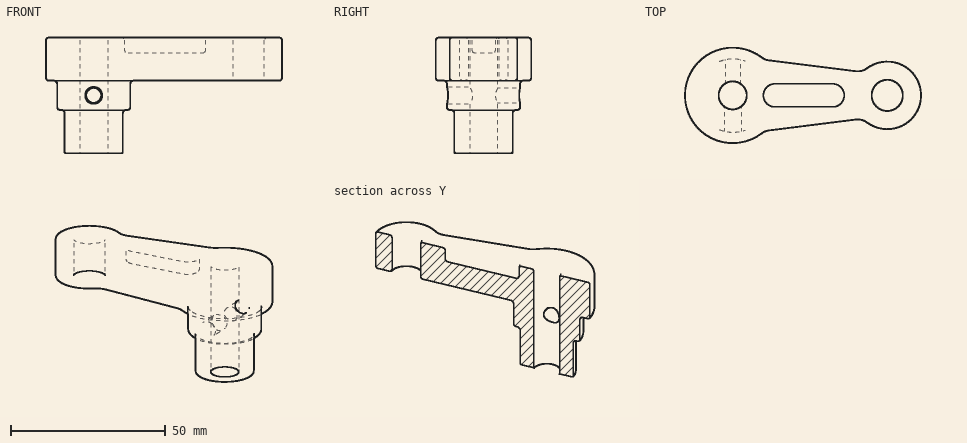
import cadquery as cq

large_end_diameter = 31.0
small_end_diameter = 21.95
overall_length = 76.5
end_spacing = overall_length - (large_end_diameter + small_end_diameter) / 2
web_half_width_large = 12.85
web_half_width_small = 6.6
web_corner_radius = 5.0

arm_thickness = 14.0
boss_height = 9.5
total_height = 37.5
pin_height = total_height - arm_thickness - boss_height
arm_bottom = pin_height + boss_height

boss_diameter = 23.8
pin_diameter = 19.0
pin_bore_diameter = 9.0
small_end_bore_diameter = 10.0
cross_hole_diameter = 4.8
cross_hole_entry_diameter = 5.5
cross_hole_edge_radius = 0.2

pocket_width = 7.5
pocket_straight_length = 18.7
pocket_center_x = 23.0
pocket_depth = 5.0

edge_radius = 1.0
fine_edge_radius = edge_radius / 2


def make_arm():
    """Two round ends joined by a tapering web, with rounded rims."""
    base = cq.Workplane("XY", origin=(0, 0, arm_bottom))
    large_end = base.circle(large_end_diameter / 2).extrude(arm_thickness)
    small_end = base.center(end_spacing, 0).circle(small_end_diameter / 2).extrude(arm_thickness)
    web = (
        base.moveTo(0, -web_half_width_large)
        .lineTo(end_spacing, -web_half_width_small)
        .lineTo(end_spacing, web_half_width_small)
        .lineTo(0, web_half_width_large)
        .close()
        .extrude(arm_thickness)
    )
    corner_zone = cq.selectors.BoxSelector(
        (edge_radius, -large_end_diameter, 0),
        (end_spacing, large_end_diameter, total_height),
    )
    arm = large_end.union(web).union(small_end)
    arm = arm.edges("|Z").edges(corner_zone).fillet(web_corner_radius)
    small_bore = (
        base.center(end_spacing, 0).circle(small_end_bore_diameter / 2).extrude(arm_thickness)
    )
    return arm.cut(small_bore).faces("<Z or >Z").edges().fillet(edge_radius)


def make_stepped_pin():
    """Boss and pin turned about Z, with a rounded inside corner under each shoulder."""
    boss_radius = boss_diameter / 2
    pin_radius = pin_diameter / 2
    profile = (
        cq.Workplane("XZ")
        .lineTo(pin_radius - fine_edge_radius, 0)
        .radiusArc((pin_radius, fine_edge_radius), -fine_edge_radius)
        .lineTo(pin_radius, pin_height - edge_radius)
        .radiusArc((pin_radius + edge_radius, pin_height), edge_radius)
        .lineTo(boss_radius - edge_radius, pin_height)
        .radiusArc((boss_radius, pin_height + edge_radius), -edge_radius)
        .lineTo(boss_radius, arm_bottom - edge_radius)
        .radiusArc((boss_radius + edge_radius, arm_bottom), edge_radius)
        .lineTo(boss_radius + edge_radius, arm_bottom + edge_radius)
        .lineTo(0, arm_bottom + edge_radius)
        .close()
    )
    return profile.revolve(360, (0, 0, 0), (0, 1, 0))


def drill_cross_hole(stepped_pin):
    """Hole along Y at mid height of the boss, wider on the -Y side, with rounded mouths."""
    hole_z = pin_height + boss_height / 2
    drilled = stepped_pin
    for side, diameter in ((-1, cross_hole_entry_diameter), (1, cross_hole_diameter)):
        hole = (
            cq.Workplane("XZ", origin=(0, 0, hole_z))
            .circle(diameter / 2)
            .extrude(-side * boss_diameter)
        )
        mouth = cq.selectors.BoxSelector(
            (-diameter / 2, side * pin_diameter / 2, hole_z - diameter / 2),
            (diameter / 2, side * boss_diameter, hole_z + diameter / 2),
        )
        drilled = drilled.cut(hole).edges(mouth).fillet(cross_hole_edge_radius)
    return drilled


def cut_pin_bore(body):
    """Bore through the whole height on the large end axis, rounded at the top."""
    bore = cq.Workplane("XY").circle(pin_bore_diameter / 2).extrude(total_height)
    rim_zone = cq.selectors.BoxSelector(
        (-pin_bore_diameter, -pin_bore_diameter, total_height - edge_radius),
        (pin_bore_diameter, pin_bore_diameter, total_height + edge_radius),
        boundingbox=True,
    )
    return body.cut(bore).edges(rim_zone).fillet(edge_radius)


def cut_pocket(body):
    """Blind round-ended pocket with rounded floor and rim."""
    pocket_length = pocket_straight_length + pocket_width
    pocket = (
        cq.Workplane("XY", origin=(pocket_center_x, 0, total_height))
        .slot2D(pocket_length, pocket_width)
        .extrude(-pocket_depth)
        .faces("<Z")
        .edges()
        .fillet(edge_radius)
    )
    half_length = pocket_length / 2 + edge_radius
    rim_zone = cq.selectors.BoxSelector(
        (pocket_center_x - half_length, -pocket_width, total_height - edge_radius),
        (pocket_center_x + half_length, pocket_width, total_height + edge_radius),
        boundingbox=True,
    )
    return body.cut(pocket).edges(rim_zone).fillet(edge_radius)


body = make_arm().union(drill_cross_hole(make_stepped_pin()))
result = cut_pocket(cut_pin_bore(body))